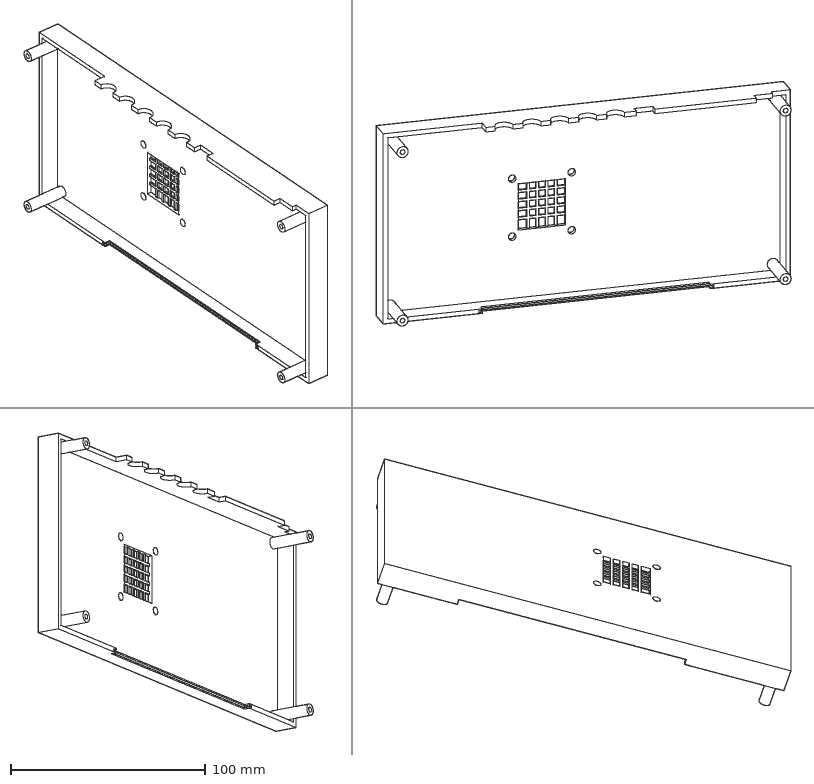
import cadquery as cq
import math

length = 219.0
height = 105.0
tray_depth = 12.5
wall = 2.5
floor = 2.5

post_diameter = 6.0
post_bore = 2.5
post_bore_depth = 10.0
bore_tip_angle = 118.0
post_reach = 25.5
post_edge_x = 6.5
post_edge_z = 6.0

lip_start_x = 53.2
lip_end_x = 208.7
lip_reach = 19.0
cable_count = 5
cable_pitch = 15.0
cable_first_x = 63.0
cable_radius = 4.75
slot_width = 10.0
slot_floor_y = 15.0
slot_starts_x = (134.2, lip_end_x - slot_width)

rim_start_x = 53.5
rim_end_x = 175.9
rim_recess = 3.0
groove_width = 1.0
groove_depth = 2.0

fan_x = 88.4
fan_z = height / 2
fan_hole_pitch = 32.0
fan_hole_diameter = 4.0
grille_size = 25.5
bar_width = 1.5
bar_pitch = 5.0
bar_count = 4
first_bar_offset = -7.0
bar_thickness = 1.0


def block(x_range, depth_range, z_range):
    """Box whose depth is measured from the rear face towards -Y."""
    size_x = x_range[1] - x_range[0]
    size_y = depth_range[1] - depth_range[0]
    size_z = z_range[1] - z_range[0]
    return cq.Workplane("XY").box(size_x, size_y, size_z, centered=False).translate(
        (x_range[0], -depth_range[1], z_range[0])
    )


def rod(x, z, diameter, depth_range):
    """Cylinder along Y, with depth measured from the rear face towards -Y."""
    plane = cq.Workplane("XZ", origin=(x, -depth_range[0], z))
    return plane.circle(diameter / 2).extrude(depth_range[1] - depth_range[0])


def make_tray():
    outer = block((0, length), (0, tray_depth), (0, height))
    cavity = block((wall, length - wall), (floor, tray_depth), (wall, height - wall))
    return outer.cut(cavity)


def make_lip():
    upper_wall = (height - wall, height)
    lip = block((lip_start_x, lip_end_x), (tray_depth, lip_reach), upper_wall)
    for index in range(cable_count):
        x = cable_first_x + index * cable_pitch
        notch = cq.Workplane("XY", origin=(x, -lip_reach, height - wall))
        lip = lip.cut(notch.circle(cable_radius).extrude(wall))
    for x in slot_starts_x:
        lip = lip.cut(block((x, x + slot_width), (slot_floor_y, lip_reach), upper_wall))
    return lip


def cut_rim_recess(body):
    recess_floor = tray_depth - rim_recess
    body = body.cut(block((rim_start_x, rim_end_x), (recess_floor, tray_depth), (0, wall)))
    groove_x = (rim_start_x - groove_depth, rim_end_x + groove_depth)
    groove_z = ((wall - groove_width) / 2, (wall + groove_width) / 2)
    return body.cut(block(groove_x, (recess_floor - groove_depth, tray_depth), groove_z))


def post_bore_tool(x, z):
    """Blind screw bore, entered from the post tip and ending in a conical point."""
    radius = post_bore / 2
    tip_depth = radius / math.tan(math.radians(bore_tip_angle / 2))
    bore_end = post_reach - post_bore_depth
    barrel = rod(x, z, post_bore, (bore_end, post_reach))
    point = cq.Solid.makeCone(radius, 0, tip_depth, cq.Vector(x, -bore_end, z), cq.Vector(0, 1, 0))
    return barrel.union(cq.Workplane(point))


def add_posts(body):
    for x in (post_edge_x, length - post_edge_x):
        for z in (post_edge_z, height - post_edge_z):
            body = body.union(rod(x, z, post_diameter, (floor, post_reach)))
            body = body.cut(post_bore_tool(x, z))
    return body


def cut_fan_grille(body):
    half = grille_size / 2
    x_range = (fan_x - half, fan_x + half)
    z_range = (fan_z - half, fan_z + half)
    body = body.cut(block(x_range, (0, floor), z_range))
    for index in range(bar_count):
        start = first_bar_offset + index * bar_pitch - bar_width / 2
        x = fan_x + start
        z = fan_z + start
        body = body.union(block((x, x + bar_width), (0, bar_thickness), z_range))
        body = body.union(block(x_range, (0, bar_thickness), (z, z + bar_width)))
    half_pitch = fan_hole_pitch / 2
    for x in (fan_x - half_pitch, fan_x + half_pitch):
        for z in (fan_z - half_pitch, fan_z + half_pitch):
            body = body.cut(rod(x, z, fan_hole_diameter, (0, floor)))
    return body


result = make_tray().union(make_lip())
result = cut_rim_recess(result)
result = add_posts(result)
result = cut_fan_grille(result)